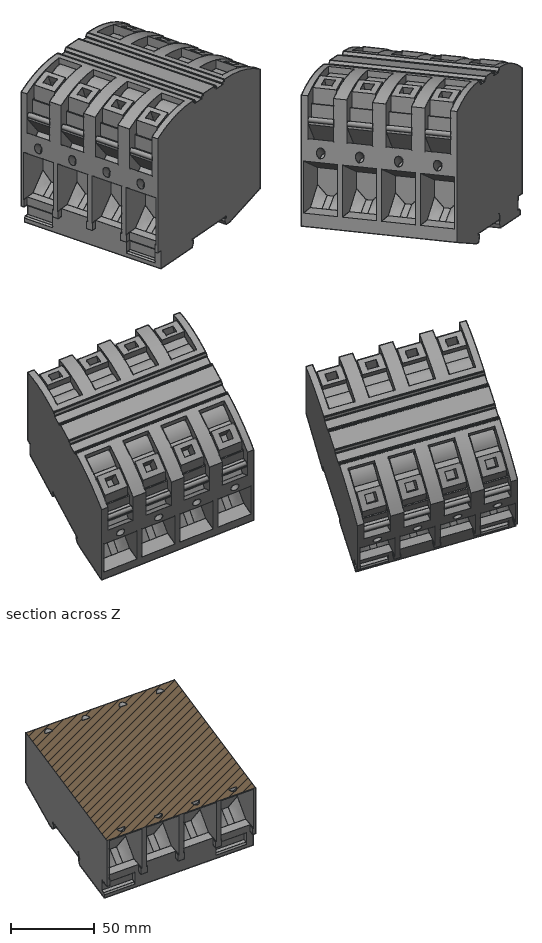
import cadquery as cq
import math

module_count = 4
module_width = 25.0
width = module_count * module_width
depth = 105.5
height = 99.75
mid_x = module_width / 2
overcut = 1.0

shoulder_z = 90.0
crown_flat_start = 35.4
toe_setback = 3.2
toe_z = 12.25
rear_bottom_z = 8.9
rear_slope_end = 74.0

rail_top_z = 5.6
rail_lip_top_z = 4.6
rail_lip_bottom_z = 2.7
rail_front = 35.8
rail_front_lip = 36.7
rail_front_mouth = 35.5
rail_rear = 70.5
rail_rear_lip = 69.1
slit_width = 0.6
slit_height = 3.8
slit_lean = 1.0
slit_depth = 1.0

groove_center = 41.85
groove_depth = 2.8
groove_half_mouth = 4.2
groove_half_lip = 2.7
groove_half_floor = 3.4
groove_lip_depth = 1.9
notch_inner = 4.6
notch_width = 0.5
notch_depth = 1.4

slot_width = 16.5
slot_length = 33.1
slot_bottom_z = 63.5
lever_seat_z = 83.7
seat_front = 5.5
web_front = 1.0
web_top_z = 74.9
web_bottom_z = 72.0
channel_floor_end = 7.0
channel_roof_end = 11.5
channel_angle = 50.0
channel_slope = math.tan(math.radians(channel_angle))
bar_radius = 1.65
bar_setback = 1.9
bar_z = 74.8

lever_width = 15.0
lever_front = 6.3
lever_nose_z = 93.6
lever_crest = 17.7
lever_crest_z = 98.1
dip_end = 23.3
dip_z = 92.2
finger_rest_z = 95.8
window_width = 6.8
window_start = 9.7
window_end = 15.0
window_depth = 14.0

hole_diameter = 5.4
hole_z = 55.25
hole_tilt = 34.0
hole_length = 8.0

funnel_mid_x = 12.65
funnel_half_mouth = 10.9
funnel_half_end = 8.3
funnel_half_gutter = 2.15
funnel_top_z = 49.4
funnel_end_top_z = 41.5
funnel_end = 16.2
ledge_end = 7.9
ledge_front_z = 17.8
ledge_end_z = 18.7
funnel_gutter_z = 24.8
funnel_corner_z = 31.0

toe_recess_start = 2.1
toe_recess_end = 22.85
foot_pocket_modules = (0, module_count - 1)
foot_pocket_width = 20.5
foot_pocket_back = 6.65
foot_pocket_floor_z = 3.7
foot_pocket_rim_z = 2.7
foot_pocket_step_z = 9.75
foot_pocket_step = 0.3


def extrude_along_x(sketch, start, length):
    """Extrude a closed YZ outline from X = start."""
    return sketch.extrude(length).translate((start, 0, 0))


def mirrored_rear(shape):
    """The same shape on the opposite end of the part."""
    return shape.mirror("XZ", (0, depth / 2, 0))


def crown_mid_point():
    """Middle of the front crown arc, which is tangent to the flat top."""
    drop = height - shoulder_z
    radius = (crown_flat_start**2 + drop**2) / (2 * drop)
    half_angle = math.asin(crown_flat_start / radius) / 2
    y = crown_flat_start - radius * math.sin(half_angle)
    z = height - radius * (1 - math.cos(half_angle))
    return y, z


def make_body():
    arc_y, arc_z = crown_mid_point()
    outline = (
        cq.Workplane("YZ")
        .moveTo(toe_setback, 0)
        .lineTo(toe_setback, toe_z)
        .lineTo(0, toe_z)
        .lineTo(0, shoulder_z)
        .threePointArc((arc_y, arc_z), (crown_flat_start, height))
        .lineTo(depth - crown_flat_start, height)
        .threePointArc((depth - arc_y, arc_z), (depth, shoulder_z))
        .lineTo(depth, rear_bottom_z)
        .lineTo(rear_slope_end, 0)
        .lineTo(rail_rear, 0)
        .lineTo(rail_rear_lip, rail_lip_bottom_z)
        .lineTo(rail_rear_lip, rail_lip_top_z)
        .lineTo(rail_rear, rail_lip_top_z)
        .lineTo(rail_rear, rail_top_z)
        .lineTo(rail_front, rail_top_z)
        .lineTo(rail_front, rail_lip_top_z)
        .lineTo(rail_front_lip, rail_lip_top_z)
        .lineTo(rail_front_lip, rail_lip_bottom_z)
        .lineTo(rail_front_mouth, 0)
        .close()
    )
    return outline.extrude(width)


def make_rail_slit():
    """Short leaning slit above the front rail lip, in the -X end face."""
    outline = cq.Workplane("YZ").polyline([
        (rail_front, rail_top_z),
        (rail_front + slit_width, rail_top_z),
        (rail_front + slit_width + slit_lean, rail_top_z + slit_height),
        (rail_front + slit_lean, rail_top_z + slit_height),
    ]).close()
    return extrude_along_x(outline, 0, slit_depth)


def make_marker_groove():
    """Undercut groove with sloped lips and a thin notch on either side."""
    half = [
        (groove_half_mouth, height),
        (groove_half_lip, height - groove_lip_depth),
        (groove_half_floor, height - groove_lip_depth),
        (groove_half_floor, height - groove_depth),
    ]
    right = [(groove_center + y, z) for y, z in half]
    left = [(groove_center - y, z) for y, z in reversed(half)]
    groove = cq.Workplane("YZ").polyline(right + left).close().extrude(width)
    notch_mid = notch_inner + notch_width / 2
    notches = (
        cq.Workplane("YZ")
        .pushPoints([
            (groove_center - notch_mid, height),
            (groove_center + notch_mid, height),
        ])
        .rect(notch_width, 2 * notch_depth)
        .extrude(width)
    )
    return groove.union(notches)


def make_lever_slot():
    """Open slot for the lever, with the sloping channel at its foot."""
    outline = cq.Workplane("YZ").polyline([
        (-overcut, slot_bottom_z + overcut * channel_slope),
        (channel_floor_end, slot_bottom_z - channel_floor_end * channel_slope),
        (channel_roof_end, web_bottom_z - (channel_roof_end - web_front) * channel_slope),
        (web_front, web_bottom_z),
        (web_front, web_top_z),
        (seat_front, web_top_z),
        (seat_front, lever_seat_z),
        (slot_length, lever_seat_z),
        (slot_length, height + overcut),
        (-overcut, height + overcut),
    ]).close()
    return extrude_along_x(outline, mid_x - slot_width / 2, slot_width)


def make_lever():
    """Lever with sloped nose, dip and rounded finger rest."""
    rest_length = slot_length - dip_end
    rest_rise = finger_rest_z - dip_z
    radius = (rest_length**2 + rest_rise**2) / (2 * rest_rise)
    half_angle = math.asin(rest_length / radius) / 2
    rest_mid = (
        slot_length - radius * math.sin(half_angle),
        finger_rest_z - radius * (1 - math.cos(half_angle)),
    )
    outline = (
        cq.Workplane("YZ")
        .moveTo(lever_front, lever_seat_z)
        .lineTo(lever_front, lever_nose_z)
        .lineTo(lever_crest, lever_crest_z)
        .lineTo(lever_crest, dip_z)
        .lineTo(dip_end, dip_z)
        .threePointArc(rest_mid, (slot_length, finger_rest_z))
        .lineTo(slot_length, lever_seat_z)
        .close()
    )
    return extrude_along_x(outline, mid_x - lever_width / 2, lever_width)


def make_lever_window():
    """Square hole sunk at right angles into the sloped nose of the lever."""
    slope = (lever_crest_z - lever_nose_z) / (lever_crest - lever_front)
    angle = math.atan(slope)
    down_y = math.sin(angle)
    down_z = -math.cos(angle)
    corners = []
    for y, along in (
        (window_start, -overcut),
        (window_end, -overcut),
        (window_end, window_depth),
        (window_start, window_depth),
    ):
        surface_z = lever_nose_z + (y - lever_front) * slope
        corners.append((y + along * down_y, surface_z + along * down_z))
    outline = cq.Workplane("YZ").polyline(corners).close()
    return extrude_along_x(outline, mid_x - window_width / 2, window_width)


def make_bar():
    """Round bar across the front of the lever slot."""
    outline = cq.Workplane("YZ").center(bar_setback, bar_z).circle(bar_radius)
    return extrude_along_x(outline, mid_x - slot_width / 2, slot_width)


def make_test_hole():
    angle = math.radians(hole_tilt)
    inward = cq.Vector(0, math.cos(angle), -math.sin(angle))
    lead = hole_diameter
    start = cq.Vector(mid_x, 0, hole_z) - inward * lead
    return cq.Workplane(
        cq.Solid.makeCylinder(hole_diameter / 2, lead + hole_length, start, inward)
    )


def funnel_section(y, half_width, top_z, corner_z, gutter_z):
    """Six-sided section: flat top, upright sides, V floor with a flat gutter."""
    points = [
        (-half_width, top_z),
        (half_width, top_z),
        (half_width, corner_z),
        (funnel_half_gutter, gutter_z),
        (-funnel_half_gutter, gutter_z),
        (-half_width, corner_z),
    ]
    corners = [cq.Vector(funnel_mid_x + x, y, z) for x, z in points]
    return cq.Wire.makePolygon(corners, close=True)


def make_funnel():
    """Tapered wire entry: sloped ledge first, then the V floor."""
    ledge_slope = (ledge_end_z - ledge_front_z) / (ledge_end - toe_setback)
    mouth_floor_z = ledge_front_z - toe_setback * ledge_slope
    share = ledge_end / funnel_end
    ledge_half = funnel_half_mouth + (funnel_half_end - funnel_half_mouth) * share
    ledge_top_z = funnel_top_z + (funnel_end_top_z - funnel_top_z) * share
    mouth = funnel_section(0, funnel_half_mouth, funnel_top_z, mouth_floor_z, mouth_floor_z)
    middle = funnel_section(ledge_end, ledge_half, ledge_top_z, ledge_end_z, ledge_end_z)
    end = funnel_section(
        funnel_end, funnel_half_end, funnel_end_top_z, funnel_corner_z, funnel_gutter_z
    )
    entry = cq.Solid.makeLoft([mouth, middle], True)
    throat = cq.Solid.makeLoft([middle, end], True)
    return cq.Workplane(entry).union(cq.Workplane(throat))


def make_toe_recess():
    """Sets the front wall below the funnel back to the foot."""
    return cq.Workplane("XY").box(
        toe_recess_end - toe_recess_start,
        toe_setback,
        ledge_front_z - toe_z,
        centered=False,
    ).translate((toe_recess_start, 0, toe_z))


def make_foot_pocket():
    """Pocket in the foot with a bevelled sill and a stepped back wall."""
    bevel = foot_pocket_floor_z - foot_pocket_rim_z
    outline = cq.Workplane("YZ").polyline([
        (toe_setback, foot_pocket_rim_z),
        (toe_setback + bevel, foot_pocket_floor_z),
        (foot_pocket_back, foot_pocket_floor_z),
        (foot_pocket_back, foot_pocket_step_z),
        (foot_pocket_back - foot_pocket_step, foot_pocket_step_z),
        (foot_pocket_back - foot_pocket_step, toe_z),
        (toe_setback, toe_z),
    ]).close()
    return outline.extrude(foot_pocket_width)


result = make_body().cut(make_rail_slit())
marker_groove = make_marker_groove()
result = result.cut(marker_groove).cut(mirrored_rear(marker_groove))

end_cuts = make_lever_slot().union(make_test_hole()).union(make_funnel())
end_parts = make_lever().union(make_bar())
lever_window = make_lever_window()
toe_recess = make_toe_recess()
foot_pocket = make_foot_pocket()

for index in range(module_count):
    offset = (index * module_width, 0, 0)
    cuts = end_cuts.translate(offset)
    parts = end_parts.translate(offset)
    result = result.cut(cuts).cut(mirrored_rear(cuts))
    result = result.union(parts).union(mirrored_rear(parts))
    window = lever_window.translate(offset)
    result = result.cut(window).cut(mirrored_rear(window))
    result = result.cut(toe_recess.translate(offset))
    if index in foot_pocket_modules:
        result = result.cut(foot_pocket.translate(offset))